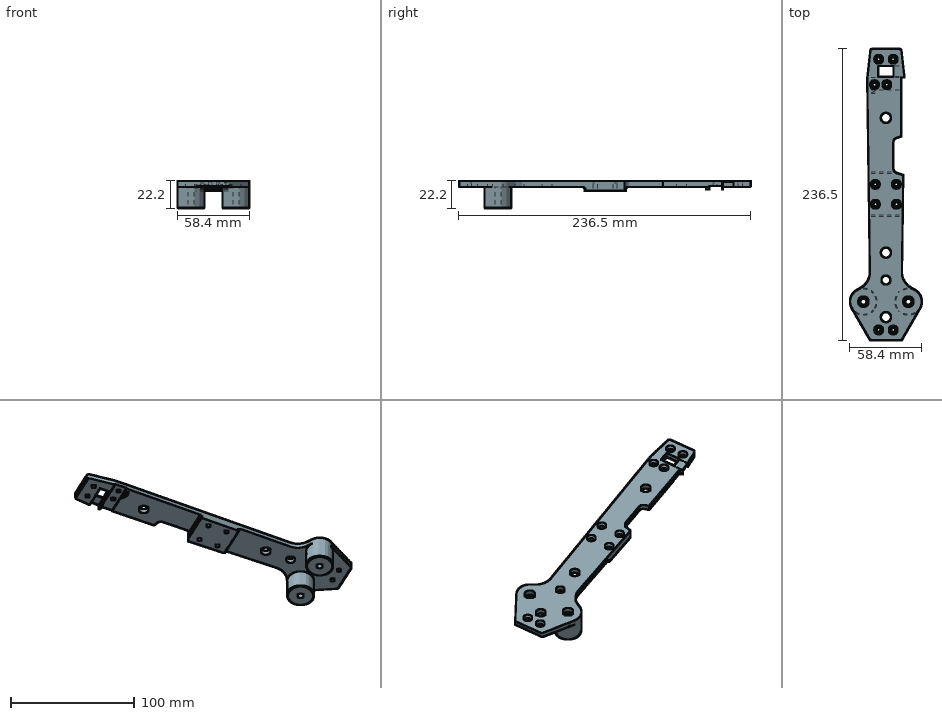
import cadquery as cq
import math

length = 236.5
thickness = 5.0
corner_fillet = 2.0
end_chamfer = 0.7

peg_x = 18.2
peg_y = 31.5
peg_radius = 22.0 / 2
peg_bottom = -22.2
peg_chamfer = 0.7
peg_hole_diameter = 5.0
peg_counterbore_diameter = 8.5
peg_counterbore_depth = thickness
head_side_angle = math.radians(60)
shoulder_angle = math.radians(30)
neck_fillet = 14.2

neck_half_width = 13.0
bar_half_width = 15.1
rear_half_width = 12.5
slot_front_y = 202.8
slot_rear_y = 213.0

step_x = 12.5
notch_x = 6.1
notch_front_y = 133.8
notch_rear_y = 165.2
notch_slope = math.tan(math.radians(18))
notch_fillet = 3.5

slot_depth = 0.7
channel_skin = 1.0
pad_center_y = 118.5
pad_length = 33.5
pad_height = 3.0
pad_foot_chamfer = 1.2
pad_corner_fillet = 1.0
rib_height = 2.1
rib_front_y = 200.0
rib_width = 2.8

window_width = 12.0
window_front_y = 213.7
window_length = 8.5
screw_diameter = 3.3
countersink_diameter = 7.0
end_screw_x = 6.0
end_screw_inset = 8.5
pad_screw_x = 8.5
pad_screw_half_spacing = 8.0
slot_screw_center_x = -4.3
slot_screw_half_spacing = 5.0
slot_screw_y = 207.3
large_hole_diameter = 8.0
large_hole_ys = (19.0, 71.2, 180.4)
small_hole_diameter = 7.0
small_hole_y = 49.0

countersink_angle = 90
through = 2 * thickness
clearance = 2.4


def box(x_min, x_max, y_min, y_max, z_min, z_max):
    """Axis-aligned box given by its limits."""
    size = (x_max - x_min, y_max - y_min, z_max - z_min)
    return cq.Workplane("XY").box(*size, centered=False).translate((x_min, y_min, z_min))


def on_peg(angle):
    """Point of the right-hand peg circle at an angle from +X."""
    return peg_x + peg_radius * math.cos(angle), peg_y + peg_radius * math.sin(angle)


def mirrored(point):
    return -point[0], point[1]


def blank(depth):
    """Symmetric outline of head and bar, extruded down from the top face."""
    lower_tangent = on_peg(head_side_angle - math.pi / 2)
    outermost = on_peg(0)
    upper_tangent = on_peg(math.pi / 2 - shoulder_angle)
    front_corner = (lower_tangent[0] - lower_tangent[1] / math.tan(head_side_angle), 0)
    neck_y = upper_tangent[1] + (upper_tangent[0] - neck_half_width) * math.tan(shoulder_angle)
    neck = (neck_half_width, neck_y)
    slot_front = (bar_half_width, slot_front_y)
    slot_rear = (bar_half_width, slot_rear_y)
    rear_corner = (rear_half_width, length)
    body = (
        cq.Workplane("XY")
        .moveTo(*mirrored(front_corner))
        .lineTo(*front_corner)
        .lineTo(*lower_tangent)
        .threePointArc(outermost, upper_tangent)
        .lineTo(*neck)
        .lineTo(*slot_front)
        .lineTo(*slot_rear)
        .lineTo(*rear_corner)
        .lineTo(*mirrored(rear_corner))
        .lineTo(*mirrored(slot_rear))
        .lineTo(*mirrored(slot_front))
        .lineTo(*mirrored(neck))
        .lineTo(*mirrored(upper_tangent))
        .threePointArc(mirrored(outermost), mirrored(lower_tangent))
        .close()
        .extrude(-depth)
    )
    neck_edges = cq.selectors.BoxSelector(
        (-bar_half_width, neck_y - clearance, -depth), (bar_half_width, neck_y + clearance, 0)
    )
    end_edges = "(|Z and <Y) or (|Z and >Y)"
    return body.edges("|Z").edges(neck_edges).fillet(neck_fillet).edges(end_edges).fillet(corner_fillet)


def edge_cuts():
    """Step behind the notch and the sloped notch, cut from the right-hand edge."""
    outer_x = bar_half_width + clearance
    step = box(step_x, outer_x, notch_rear_y, slot_rear_y, -through, 0)
    front_rise = (bar_half_width - notch_x) * notch_slope
    rear_rise = (step_x - notch_x) * notch_slope
    notch = (
        cq.Workplane("XY")
        .polyline(
            [
                (notch_x, notch_front_y + front_rise),
                (outer_x, notch_front_y - clearance * notch_slope),
                (outer_x, notch_rear_y + (outer_x - step_x) * notch_slope),
                (notch_x, notch_rear_y - rear_rise),
            ]
        )
        .close()
        .extrude(-through)
        .edges("|Z and <X")
        .fillet(notch_fillet)
    )
    return step.union(notch)


def pad():
    """Raised pad under the middle screws, as wide as the bar."""
    front_y = pad_center_y - pad_length / 2
    rear_y = pad_center_y + pad_length / 2
    bottom = -thickness - pad_height
    slab = box(-bar_half_width, bar_half_width, front_y, rear_y, bottom, 0)
    slab = slab.intersect(blank(thickness + pad_height)).edges("|Z").fillet(pad_corner_fillet)
    foot_profile = [
        (front_y - pad_foot_chamfer, -thickness),
        (front_y, -thickness - pad_foot_chamfer),
        (rear_y, -thickness - pad_foot_chamfer),
        (rear_y + pad_foot_chamfer, -thickness),
    ]
    foot = (
        cq.Workplane("YZ")
        .polyline(foot_profile)
        .close()
        .extrude(bar_half_width, both=True)
        .intersect(blank(thickness + pad_height))
    )
    return slab.union(foot)


def rib():
    """Low diagonal rib under the rear end, stopping at the window."""
    return (
        cq.Workplane("XY")
        .polyline(
            [
                (-step_x, rib_front_y),
                (rib_width - step_x, rib_front_y),
                (step_x, window_front_y),
                (step_x - rib_width, window_front_y),
            ]
        )
        .close()
        .extrude(-thickness - rib_height)
        .intersect(blank(thickness + rib_height))
    )


def pegs():
    peg = cq.Workplane("XY").circle(peg_radius).extrude(peg_bottom).faces("<Z").chamfer(peg_chamfer)
    return peg.translate((peg_x, peg_y, 0)).union(peg.translate((-peg_x, peg_y, 0)))


def end_chamfers():
    """Wedges that bevel the lower edges of the front and rear ends."""
    wedges = cq.Workplane("XY")
    for end_y, inward in ((0, 1), (length, -1)):
        profile = [
            (end_y, -thickness),
            (end_y + inward * end_chamfer, -thickness),
            (end_y, end_chamfer - thickness),
        ]
        wedge = cq.Workplane("YZ").polyline(profile).close().extrude(bar_half_width, both=True)
        wedges = wedges.add(wedge)
    return wedges.combine()


plate = blank(thickness).cut(end_chamfers()).union(pad()).union(rib()).union(pegs()).cut(edge_cuts())

plate = plate.cut(
    box(
        -bar_half_width,
        bar_half_width,
        slot_front_y,
        slot_rear_y,
        -thickness - rib_height,
        slot_depth - thickness,
    )
)

plate = plate.cut(
    box(
        -window_width / 2,
        window_width / 2,
        window_front_y,
        window_front_y + window_length,
        -through,
        0,
    )
)

plate = plate.cut(
    box(
        0,
        bar_half_width,
        window_front_y,
        window_front_y + window_length,
        -through,
        -channel_skin,
    )
)

screw_points = [
    (slot_screw_center_x + side * slot_screw_half_spacing, slot_screw_y) for side in (-1, 1)
]
for side in (-1, 1):
    for y in (end_screw_inset, length - end_screw_inset):
        screw_points.append((side * end_screw_x, y))
    for end in (-1, 1):
        screw_points.append((side * pad_screw_x, pad_center_y + end * pad_screw_half_spacing))

top = cq.Workplane("XY")
result = (
    plate.copyWorkplane(top)
    .pushPoints(screw_points)
    .cskHole(screw_diameter, countersink_diameter, countersink_angle)
    .copyWorkplane(top)
    .pushPoints([(0, y) for y in large_hole_ys])
    .hole(large_hole_diameter)
    .copyWorkplane(top)
    .pushPoints([(0, small_hole_y)])
    .hole(small_hole_diameter)
    .copyWorkplane(top)
    .pushPoints([(-peg_x, peg_y), (peg_x, peg_y)])
    .cboreHole(peg_hole_diameter, peg_counterbore_diameter, peg_counterbore_depth)
)